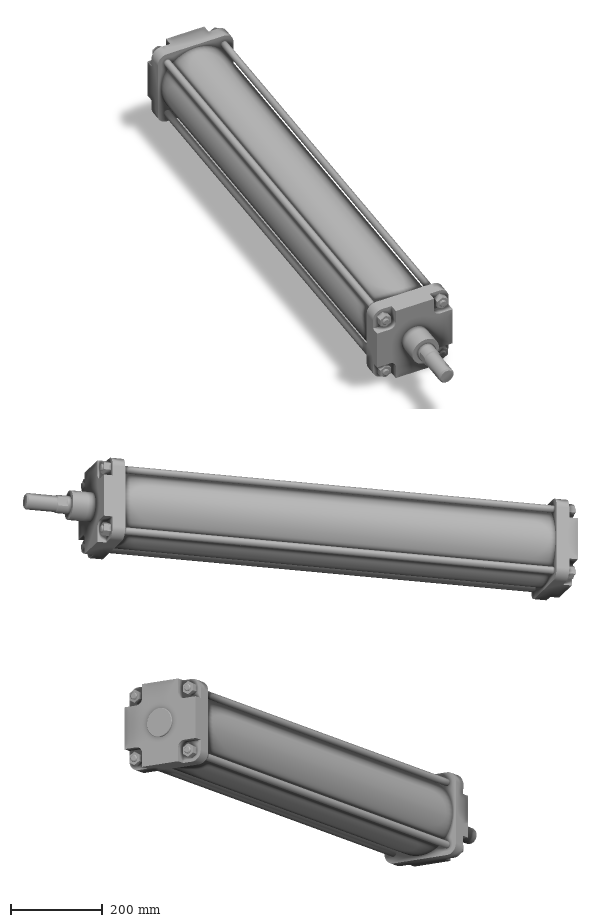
import cadquery as cq


cap_size = 186.0
cap_length = 49.0
barrel_diameter = 170.0
cap_face_distance = 1083.0

collar_diameter = 65.0
rear_collar_length = 4.0
front_collar_length = 51.0
collar_chamfer = 1.0

tie_rod_spacing = 140.0
tie_rod_diameter = 16.0
nut_across_corners = 30.0
nut_length = 16.0
tie_rod_chamfer = 2.0

pocket_size = 46.0
pocket_depth = 20.0
pocket_corner_radius = 15.0

rod_diameter = 40.0
rod_neck_length = 8.0
flat_width = 36.0
flat_length = 23.0
rod_shoulder_chamfer = 2.0
thread_diameter = 36.0
thread_length = 69.0
thread_chamfer = 3.0

half_cap = cap_size / 2
tie_rod_offset = tie_rod_spacing / 2
cap_corner_radius = half_cap - tie_rod_offset
front_cap_start = cap_face_distance - cap_length
collar_end = cap_face_distance + front_collar_length
flat_start = collar_end + rod_neck_length
thread_start = flat_start + flat_length
rear_seat = pocket_depth
front_seat = cap_face_distance - pocket_depth
corners = [(y, z) for y in (-1, 1) for z in (-1, 1)]


def cylinder(diameter, start, length, y=0.0, z=0.0):
    """Cylinder along +X from x = start, centred on (y, z)."""
    plane = cq.Workplane("YZ", origin=(start, y, z))
    return plane.circle(diameter / 2).extrude(length)


def make_cap_block(start, pocket_start):
    """Rounded square block with a nut pocket and a tie-rod hole in each corner."""
    block = cq.Workplane("YZ", origin=(start, 0, 0)).rect(cap_size, cap_size).extrude(cap_length)
    block = block.edges("|X").fillet(cap_corner_radius)
    for y_side, z_side in corners:
        pocket = (
            cq.Workplane("YZ", origin=(pocket_start, y_side * half_cap, z_side * half_cap))
            .rect(2 * pocket_size, 2 * pocket_size)
            .extrude(pocket_depth)
            .edges("|X")
            .fillet(pocket_corner_radius)
        )
        y = y_side * tie_rod_offset
        z = z_side * tie_rod_offset
        hole = cylinder(tie_rod_diameter, start, cap_length, y, z)
        block = block.cut(pocket).cut(hole)
    return block


def make_rear_cap():
    """Cap with a short centring collar."""
    collar = cylinder(collar_diameter, -rear_collar_length, rear_collar_length)
    collar = collar.faces("<X").chamfer(collar_chamfer)
    return make_cap_block(0, 0).union(collar)


def make_front_cap():
    """Cap with a long collar, bored through for the piston rod."""
    collar = cylinder(collar_diameter, cap_face_distance, front_collar_length)
    rod_hole = cylinder(rod_diameter, front_cap_start, cap_length + front_collar_length)
    return make_cap_block(front_cap_start, front_seat).union(collar).cut(rod_hole)


def make_barrel():
    """Barrel clamped between the inner faces of the caps."""
    return cylinder(barrel_diameter, cap_length, front_cap_start - cap_length)


def make_nut(start, y, z):
    """Hexagon nut with two flats facing +Y and -Y."""
    hexagon = cq.Workplane("YZ", origin=(start, y, z)).transformed(rotate=(0, 0, 90))
    return hexagon.polygon(6, nut_across_corners).extrude(nut_length)


def make_tie_rod(y, z):
    """Tie rod ending flush with both cap faces, with a nut seated on each pocket floor."""
    rod = cylinder(tie_rod_diameter, 0, cap_face_distance, y, z)
    rod = rod.faces("<X or >X").chamfer(tie_rod_chamfer)
    return rod.union(make_nut(rear_seat - nut_length, y, z)).union(make_nut(front_seat, y, z))


def make_piston_rod():
    """Rod from the barrel's front face with two wrench flats facing +Y and -Y, and a thinner threaded end."""
    rod = cylinder(rod_diameter, front_cap_start, thread_start - front_cap_start)
    rod = rod.faces(">X").chamfer(rod_shoulder_chamfer)
    flat_depth = rod_diameter - flat_width
    for side in (-1, 1):
        flat = cq.Workplane("XY").box(flat_length, flat_depth, rod_diameter)
        flat_y = side * (flat_width + flat_depth) / 2
        rod = rod.cut(flat.translate((flat_start + flat_length / 2, flat_y, 0)))
    thread = cylinder(thread_diameter, thread_start, thread_length)
    return rod.union(thread.faces(">X").chamfer(thread_chamfer))


rear_cap = make_rear_cap()
front_cap = make_front_cap()
barrel = make_barrel()
piston_rod = make_piston_rod()
tie_rods = [make_tie_rod(y * tie_rod_offset, z * tie_rod_offset) for y, z in corners]

result = cq.Compound.makeCompound(
    [rear_cap.val(), front_cap.val(), barrel.val(), piston_rod.val(), *[rod.val() for rod in tie_rods]]
)